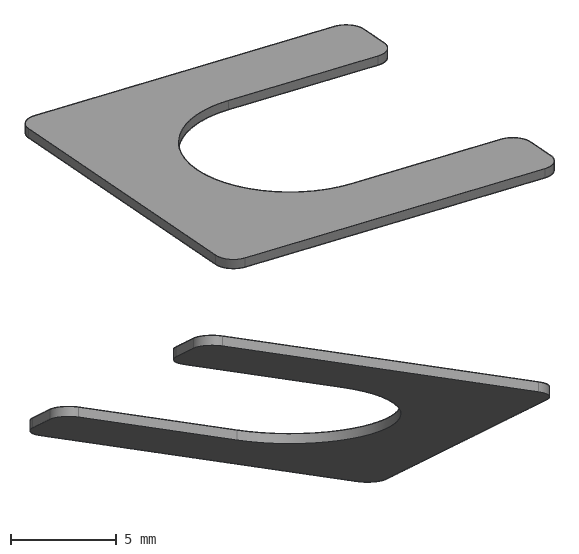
import cadquery as cq

length = 19.0
width = 18.0
thickness = 0.5
corner_radius = 1.0
slot_width = 10.5

slot_radius = slot_width / 2

plate = cq.Workplane("XY").rect(width, length).extrude(thickness)

slot_end = cq.Workplane("XY").circle(slot_radius).extrude(thickness)
slot_mouth = (
    cq.Workplane("XY")
    .rect(slot_width, length / 2)
    .extrude(thickness)
    .translate((0, length / 4, 0))
)
shim = plate.cut(slot_end.union(slot_mouth))

bottom_corners = shim.faces("<Y").edges("|Z")
leg_tips = shim.faces(">Y").edges("|Z")
result = shim.newObject(bottom_corners.vals() + leg_tips.vals()).fillet(corner_radius)